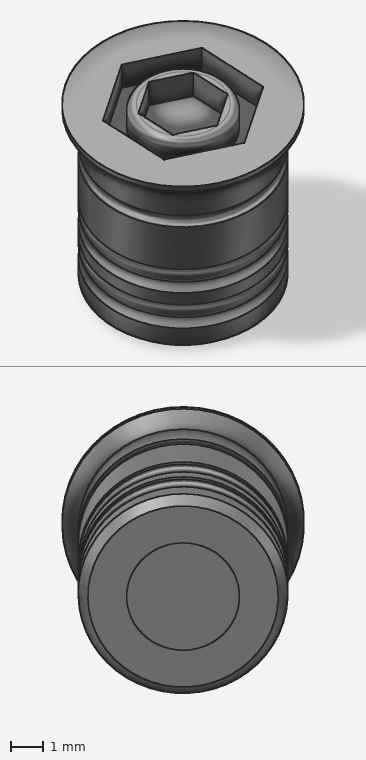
import cadquery as cq
import math

HEIGHT = 7.5
FLANGE_RADIUS = 3.75
FLANGE_RIM = 0.2
BODY_RADIUS = 3.25
FLANGE_UNDERSIDE = HEIGHT - FLANGE_RIM - (FLANGE_RADIUS - BODY_RADIUS)
STEP_DEPTH = 0.3
NECK_RADIUS = BODY_RADIUS - STEP_DEPTH

GROOVE_RADIUS = 0.25
GROOVE_CENTRE_Z = 5.55

BEAD_LAND = 0.1
BEAD_HEIGHT = BEAD_LAND + 2 * STEP_DEPTH
LOWEST_BEAD_TOP = 2.0
BEAD_PITCH = 1.5
BEAD_COUNT = 2
BEAD_TOPS = [LOWEST_BEAD_TOP + i * BEAD_PITCH for i in range(BEAD_COUNT)]

POCKET_FLATS = 4.5
POCKET_DEPTH = 1.0
SCREW_RADIUS = 1.75
SCREW_FILLET = 0.29
SOCKET_FLATS = 2.505
SOCKET_DEPTH = 1.0


def hex_prism(across_flats, depth):
    """Hexagonal prism hanging from the top face, with corners on the Y axis."""
    corner_diameter = across_flats / math.cos(math.pi / 6)
    prism = cq.Workplane("XY").workplane(offset=HEIGHT - depth).polygon(6, corner_diameter).extrude(depth)
    return prism.rotate((0, 0, 0), (0, 0, 1), 30)


def add_bead(outline, top):
    """Continue the sleeve outline upwards over one relief and bead."""
    bottom = top - BEAD_HEIGHT
    diagonal = STEP_DEPTH * math.sqrt(0.5)
    land_bottom = bottom + STEP_DEPTH
    land_top = top - STEP_DEPTH
    return (
        outline.lineTo(BODY_RADIUS, bottom - STEP_DEPTH)
        .lineTo(NECK_RADIUS, bottom)
        .threePointArc((NECK_RADIUS + diagonal, land_bottom - diagonal), (BODY_RADIUS, land_bottom))
        .lineTo(BODY_RADIUS, land_top)
        .threePointArc((NECK_RADIUS + diagonal, land_top + diagonal), (NECK_RADIUS, top))
        .lineTo(BODY_RADIUS, top)
    )


def make_sleeve():
    """Flanged sleeve with its groove, sealing beads, hexagonal pocket and bore."""
    outline = cq.Workplane("XZ").lineTo(NECK_RADIUS, 0).lineTo(BODY_RADIUS, STEP_DEPTH)
    for top in BEAD_TOPS:
        outline = add_bead(outline, top)
    groove_mouth = NECK_RADIUS + GROOVE_RADIUS
    outline = (
        outline.lineTo(BODY_RADIUS, GROOVE_CENTRE_Z - GROOVE_RADIUS)
        .lineTo(groove_mouth, GROOVE_CENTRE_Z - GROOVE_RADIUS)
        .threePointArc((NECK_RADIUS, GROOVE_CENTRE_Z), (groove_mouth, GROOVE_CENTRE_Z + GROOVE_RADIUS))
        .lineTo(BODY_RADIUS, GROOVE_CENTRE_Z + GROOVE_RADIUS)
        .lineTo(BODY_RADIUS, FLANGE_UNDERSIDE)
        .lineTo(FLANGE_RADIUS, HEIGHT - FLANGE_RIM)
        .lineTo(FLANGE_RADIUS, HEIGHT)
        .lineTo(0, HEIGHT)
        .close()
    )
    sleeve = outline.revolve(360, (0, 0, 0), (0, 1, 0))
    bore = cq.Workplane("XY").circle(SCREW_RADIUS).extrude(HEIGHT)
    return sleeve.cut(hex_prism(POCKET_FLATS, POCKET_DEPTH)).cut(bore)


def make_screw():
    """Round screw filling the bore, with a rounded rim and a hexagonal socket."""
    screw = cq.Workplane("XY").circle(SCREW_RADIUS).extrude(HEIGHT)
    screw = screw.faces(">Z").edges().fillet(SCREW_FILLET)
    return screw.cut(hex_prism(SOCKET_FLATS, SOCKET_DEPTH))


sleeve = make_sleeve()
screw = make_screw()
result = cq.Compound.makeCompound([sleeve.val(), screw.val()])